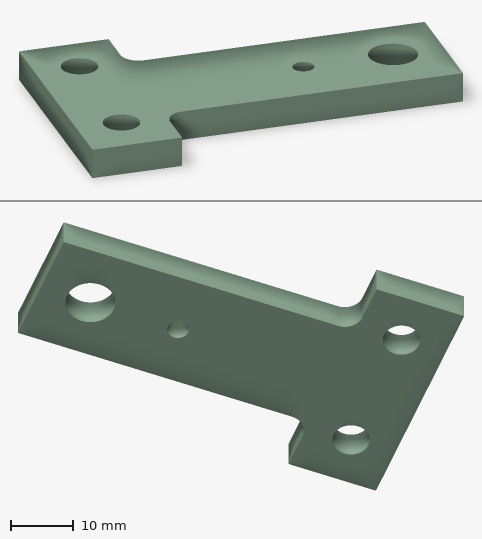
import cadquery as cq

length = 65.0
thickness = 5.0
foot_width = 38.5
foot_depth = 15.0
stem_width = 20.0
corner_radius = 3.0

foot_hole_diameter = 6.0
foot_hole_spacing = 22.0
end_hole_diameter = 8.0
end_hole_inset = 8.5
small_hole_diameter = 3.5
hole_pitch = 15.0

end_hole_y = length - end_hole_inset
small_hole_y = end_hole_y - hole_pitch
foot_hole_y = foot_depth / 2


def bar(width, depth):
    """Flat bar centred on X, starting at Y = 0 and Z = 0."""
    return cq.Workplane("XY").box(width, depth, thickness, centered=(True, False, False))


def through_holes(diameter, centers):
    """Cylinders that cut through the plate at the given XY centers."""
    return cq.Workplane("XY").pushPoints(centers).circle(diameter / 2).extrude(thickness)


plate = bar(foot_width, foot_depth).union(bar(stem_width, length))

for side in (-1, 1):
    corner = (side * stem_width / 2, foot_depth, thickness / 2)
    plate = plate.edges(cq.selectors.NearestToPointSelector(corner)).fillet(corner_radius)

foot_hole_centers = [(side * foot_hole_spacing / 2, foot_hole_y) for side in (-1, 1)]
result = (
    plate
    .cut(through_holes(foot_hole_diameter, foot_hole_centers))
    .cut(through_holes(end_hole_diameter, [(0, end_hole_y)]))
    .cut(through_holes(small_hole_diameter, [(0, small_hole_y)]))
)